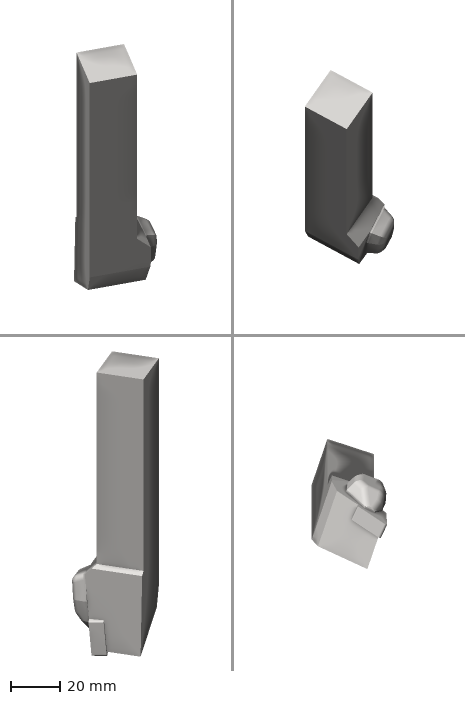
import cadquery as cq
import math

OVERALL_LENGTH = 126.4

SHANK_SIDE = 20.0

HEAD_THICKNESS = 25.6
HEAD_TOP = 39.4
SHOULDER_WIDTH = 1.8
SHOULDER_DROP = 1.5
HEAD_CORNER_X = -23.8
HEAD_CORNER_Z = 2.3
HEEL_WIDTH = 2.7
HEEL_TOP = 23.5
CUT_ANGLE = 30.5

RAKE_ANGLE = 6.0
RAKE_SLOPE = math.tan(math.radians(RAKE_ANGLE))
RAKE_ORIGIN_Y = 23.0

INSERT_ANGLE = 55.0
INSERT_EDGE = 15.5
INSERT_THICKNESS = 6.3
NOSE_RADIUS = 0.8
EDGE_TILT = 31.0
TIP_X = -25.6
TIP_Z = -0.91

CLAMP_HEIGHT = 6.7
CLAMP_BAND = 0.8
CLAMP_TAPER = 20.0
CLAMP_ROUNDING = 3.5
CLAMP_CORNER_RADIUS = 2.8
NOSE_LIP = 1.3
NOSE_BEVEL_LENGTH = 8.3

CLAMP_BACK_CORNER = (34.7, -21.2)
CLAMP_NOSE = 8.3
CLAMP_FAR_SIDE = -6.6
CLAMP_OUTLINE = [
    (32.9, -8.8),
    CLAMP_BACK_CORNER,
    (23.4, -23.6),
    (13.6, -22.5),
    (CLAMP_NOSE, -19.6),
    (CLAMP_NOSE, -15.2),
    (19.0, CLAMP_FAR_SIDE),
    (27.8, CLAMP_FAR_SIDE),
]

rake_plane = cq.Plane(
    origin=(0, RAKE_ORIGIN_Y, 0),
    xDir=(0, RAKE_SLOPE, 1),
    normal=(-RAKE_SLOPE, 1, -RAKE_SLOPE),
)


def make_shank():
    bar = cq.Workplane("XY").box(SHANK_SIDE, SHANK_SIDE, OVERALL_LENGTH - HEAD_TOP, centered=False)
    return bar.translate((-SHANK_SIDE, 0, HEAD_TOP))


def make_head():
    heel_x = -HEEL_WIDTH
    heel_z = HEAD_CORNER_Z + (heel_x - HEAD_CORNER_X) * math.tan(math.radians(CUT_ANGLE))
    outline = [
        (0, HEAD_TOP),
        (-SHANK_SIDE, HEAD_TOP),
        (-SHANK_SIDE - SHOULDER_WIDTH, HEAD_TOP - SHOULDER_DROP),
        (HEAD_CORNER_X, HEAD_CORNER_Z),
        (heel_x, heel_z),
        (0, HEEL_TOP),
    ]
    head = cq.Workplane("XZ").polyline(outline).close().extrude(-HEAD_THICKNESS)

    rise = HEAD_THICKNESS - SHANK_SIDE
    slope = (
        cq.Workplane("YZ")
        .polyline([(SHANK_SIDE, HEAD_TOP), (HEAD_THICKNESS, HEAD_TOP), (HEAD_THICKNESS, HEAD_TOP - rise)])
        .close()
        .extrude(-OVERALL_LENGTH)
    )
    above_rake = cq.Workplane(rake_plane).rect(2 * OVERALL_LENGTH, 2 * OVERALL_LENGTH).extrude(OVERALL_LENGTH)
    return head.cut(slope).cut(above_rake)


def clamp_footprint(offset):
    """Draw the outline of the clamp at an offset above the rake plane."""
    return cq.Workplane(rake_plane).workplane(offset=offset).polyline(CLAMP_OUTLINE).close()


def make_nose_bevel():
    """Wedge that slopes the nose of the clamp from its lip up to its top."""
    bevel_plane = cq.Plane(
        origin=rake_plane.toWorldCoords((0, -OVERALL_LENGTH, 0)).toTuple(),
        xDir=rake_plane.xDir,
        normal=rake_plane.yDir,
    )
    return (
        cq.Workplane(bevel_plane)
        .moveTo(CLAMP_NOSE, -NOSE_LIP)
        .lineTo(CLAMP_NOSE + NOSE_BEVEL_LENGTH, -CLAMP_HEIGHT)
        .lineTo(CLAMP_NOSE, -CLAMP_HEIGHT)
        .close()
        .extrude(2 * OVERALL_LENGTH)
    )


def make_clamp():
    band = clamp_footprint(0).extrude(CLAMP_BAND)
    cap = clamp_footprint(CLAMP_BAND).extrude(CLAMP_HEIGHT - CLAMP_BAND, taper=CLAMP_TAPER)
    cap = cap.cut(make_nose_bevel())

    back_corner = rake_plane.toWorldCoords((*CLAMP_BACK_CORNER, CLAMP_HEIGHT / 2))
    cap = (
        cap.edges(cq.selectors.NearestToPointSelector(back_corner.toTuple()))
        .fillet(CLAMP_CORNER_RADIUS)
    )

    bevel_normal = rake_plane.zDir * NOSE_BEVEL_LENGTH - rake_plane.xDir * (CLAMP_HEIGHT - NOSE_LIP)
    across = cq.selectors.ParallelDirSelector(rake_plane.yDir)
    top_edges = cap.faces(cq.selectors.DirectionMinMaxSelector(rake_plane.zDir)).edges()
    bevel_edges = cap.faces(cq.selectors.ParallelDirSelector(bevel_normal)).edges(-across)
    cap = top_edges.add(bevel_edges).fillet(CLAMP_ROUNDING)
    return band.union(cap)


def make_insert():
    lower = math.radians(EDGE_TILT)
    side = math.radians(EDGE_TILT + INSERT_ANGLE)
    lower_edge = (INSERT_EDGE * math.sin(lower), INSERT_EDGE * math.cos(lower))
    side_edge = (INSERT_EDGE * math.sin(side), INSERT_EDGE * math.cos(side))
    prism = (
        cq.Workplane(rake_plane)
        .moveTo(TIP_Z, TIP_X)
        .line(*lower_edge)
        .line(*side_edge)
        .line(-lower_edge[0], -lower_edge[1])
        .close()
        .extrude(-INSERT_THICKNESS)
    )
    return prism.edges(cq.selectors.ParallelDirSelector(rake_plane.zDir)).fillet(NOSE_RADIUS)


insert = make_insert()
holder = make_shank().union(make_head()).union(make_clamp()).cut(insert)

result = cq.Compound.makeCompound([holder.solids().val(), insert.solids().val()])